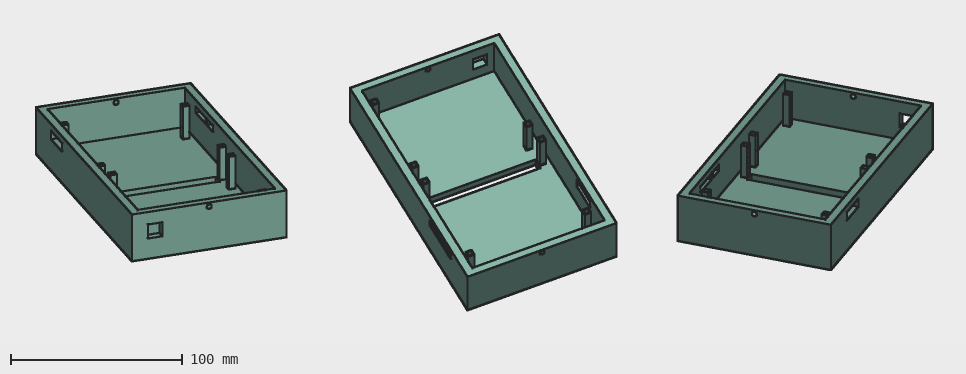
import cadquery as cq

LENGTH = 160.0
WIDTH = 96.2
HEIGHT = 30.0
END_WALL = 5.0
LONG_WALL = 5.5
FLOOR = 5.0

SLOT_WIDTH = 7.0
SLOT_LENGTH = 70.4

POST_SIDE = 4.0
POST_HEIGHT = 21.0
POST_HOLE_DIAMETER = 3.0
LEFT_POST_X = (-61.1, 0.0)
LEFT_POST_Y = 37.6
RIGHT_POST_NEAR_X = 14.0
RIGHT_POST_FAR_X = 67.5
RIGHT_POST_BACK_Y = 38.0
RIGHT_POST_FRONT_Y = -35.5

WINDOW_DROP = 4.3
FRONT_WINDOW_START = 25.1
FRONT_WINDOW_END = 43.2
FRONT_WINDOW_HEIGHT = 5.5
BACK_WINDOW_HEIGHT = 3.8
BACK_WINDOWS = ((22.7, 39.8), (41.6, 51.7))

END_WINDOW_BACK_Y = -29.1
END_WINDOW_WIDTH = 9.0
END_WINDOW_DROP = 8.0
END_WINDOW_HEIGHT = 9.0

CABLE_HOLE_DIAMETER = 3.0
CABLE_HOLE_DROP = 2.5


def block(x_size, y_size, z_size, x_mid, y_mid, z_low):
    """Box centred on (x_mid, y_mid) and standing on z_low."""
    box = cq.Workplane("XY").box(x_size, y_size, z_size, centered=(True, True, False))
    return box.translate((x_mid, y_mid, z_low))


def make_tray():
    outside = block(LENGTH, WIDTH, HEIGHT, 0, 0, 0)
    inside = block(LENGTH - 2 * END_WALL, WIDTH - 2 * LONG_WALL, HEIGHT - FLOOR, 0, 0, FLOOR)
    slot = block(SLOT_WIDTH, SLOT_LENGTH, FLOOR, 0, 0, 0)
    return outside.cut(inside).cut(slot)


def make_posts():
    centers = [(x, y) for x in LEFT_POST_X for y in (-LEFT_POST_Y, LEFT_POST_Y)]
    centers += [
        (RIGHT_POST_NEAR_X, RIGHT_POST_BACK_Y),
        (RIGHT_POST_FAR_X, RIGHT_POST_BACK_Y),
        (RIGHT_POST_NEAR_X, RIGHT_POST_FRONT_Y),
    ]
    base = cq.Workplane("XY").workplane(offset=FLOOR).pushPoints(centers)
    posts = base.rect(POST_SIDE, POST_SIDE).extrude(POST_HEIGHT)
    holes = base.circle(POST_HOLE_DIAMETER / 2).extrude(POST_HEIGHT)
    return posts.cut(holes)


def long_wall_window(start, end, height, side):
    """Cutter through the front (side = -1) or back (side = 1) wall."""
    x_mid = (start + end - LENGTH) / 2
    y_mid = side * (WIDTH - LONG_WALL) / 2
    return block(end - start, LONG_WALL, height, x_mid, y_mid, HEIGHT - WINDOW_DROP - height)


def end_window():
    return block(
        END_WALL,
        END_WINDOW_WIDTH,
        END_WINDOW_HEIGHT,
        (LENGTH - END_WALL) / 2,
        END_WINDOW_BACK_Y - END_WINDOW_WIDTH / 2,
        HEIGHT - END_WINDOW_DROP - END_WINDOW_HEIGHT,
    )


def cable_holes():
    drill = cq.Workplane("YZ").center(0, HEIGHT - CABLE_HOLE_DROP)
    return drill.circle(CABLE_HOLE_DIAMETER / 2).extrude(LENGTH / 2, both=True)


result = make_tray().union(make_posts())
result = result.cut(long_wall_window(FRONT_WINDOW_START, FRONT_WINDOW_END, FRONT_WINDOW_HEIGHT, -1))
for window_start, window_end in BACK_WINDOWS:
    result = result.cut(long_wall_window(window_start, window_end, BACK_WINDOW_HEIGHT, 1))
result = result.cut(end_window()).cut(cable_holes())